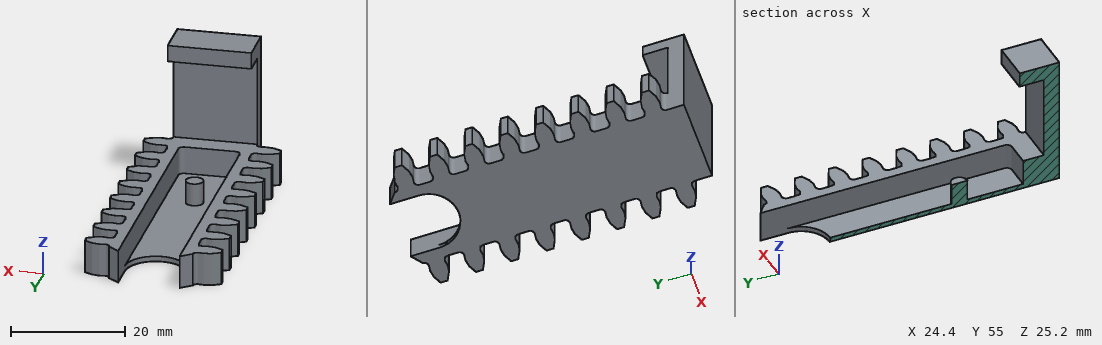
import cadquery as cq
import math

length = 55.0
height = 25.21
width_over_teeth = 24.41

base_width = 15.0
base_height = 6.0
back_y = -length / 2
front_y = length / 2

plate_thickness = 3.0
overhang_length = 7.65
overhang_thickness = 3.0

channel_width = 11.0
channel_end_y = back_y + 7.0
channel_corner_radius = 1.0
floor_thickness = 1.0

notch_diameter = 11.0
notch_depth = 10.8

pin_diameter = 3.12
pin_y = back_y + 19.24
pin_top = 5.1

tooth_count = 8
tooth_pitch = 6.52
first_tooth_y = back_y + 5.47
tip_x = width_over_teeth / 2
root_x = base_width / 2
tip_half_width = 0.65
flank_middle = (10.7, 1.41)
flank_inner = (9.36, 1.63)
neck_half_width = 1.5
root_radius = 0.8


def add_tooth(outline, centre_y):
    """Add one tooth of the +X side, going from its rear root to its front root."""
    neck_x = root_x + root_radius
    root_half_width = neck_half_width + root_radius
    arc_offset = root_radius * (1 - math.sqrt(0.5))
    arc_middle = (root_x + arc_offset, neck_half_width + arc_offset)

    outline = outline.lineTo(root_x, centre_y - root_half_width)
    outline = outline.threePointArc(
        (arc_middle[0], centre_y - arc_middle[1]), (neck_x, centre_y - neck_half_width)
    )
    outline = outline.lineTo(flank_inner[0], centre_y - flank_inner[1])
    outline = outline.lineTo(flank_middle[0], centre_y - flank_middle[1])
    outline = outline.lineTo(tip_x, centre_y - tip_half_width)
    outline = outline.lineTo(tip_x, centre_y + tip_half_width)
    outline = outline.lineTo(flank_middle[0], centre_y + flank_middle[1])
    outline = outline.lineTo(flank_inner[0], centre_y + flank_inner[1])
    outline = outline.lineTo(neck_x, centre_y + neck_half_width)
    return outline.threePointArc(
        (arc_middle[0], centre_y + arc_middle[1]), (root_x, centre_y + root_half_width)
    )


def make_base():
    """Toothed bar; each front end slants from the last tooth root to the channel wall."""
    outline = cq.Workplane("XY").moveTo(0, back_y).lineTo(root_x, back_y)
    for index in range(tooth_count):
        outline = add_tooth(outline, first_tooth_y + index * tooth_pitch)
    outline = outline.lineTo(channel_width / 2, front_y).lineTo(0, front_y).close()
    half = outline.extrude(base_height)
    return half.union(half.mirror("YZ"))


def make_channel():
    """Volume removed above the floor, open at the front."""
    channel_length = front_y - channel_end_y
    return (
        cq.Workplane("XY", origin=(0, channel_end_y + channel_length / 2, floor_thickness))
        .rect(channel_width, channel_length)
        .extrude(base_height)
        .edges("|Z and <Y")
        .fillet(channel_corner_radius)
    )


def make_notch():
    """Volume removed through the floor: an arc behind a straight opening."""
    radius = notch_diameter / 2
    centre_y = front_y - notch_depth + radius
    round_end = cq.Workplane("XY").center(0, centre_y).circle(radius).extrude(floor_thickness)
    opening_length = front_y - centre_y
    opening = (
        cq.Workplane("XY")
        .center(0, centre_y + opening_length / 2)
        .rect(channel_width, opening_length)
        .extrude(floor_thickness)
    )
    return opening.union(round_end)


def make_hook():
    """Upright plate with an overhang, as wide as the base bar."""
    plate_front_y = back_y + plate_thickness
    overhang_front_y = back_y + overhang_length
    overhang_underside = height - overhang_thickness
    profile = [
        (back_y, 0),
        (plate_front_y, 0),
        (plate_front_y, overhang_underside),
        (overhang_front_y, overhang_underside),
        (overhang_front_y, height),
        (back_y, height),
    ]
    return cq.Workplane("YZ").polyline(profile).close().extrude(base_width / 2, both=True)


def make_pin():
    return cq.Workplane("XY").center(0, pin_y).circle(pin_diameter / 2).extrude(pin_top)


result = make_base().cut(make_channel()).cut(make_notch()).union(make_hook()).union(make_pin())